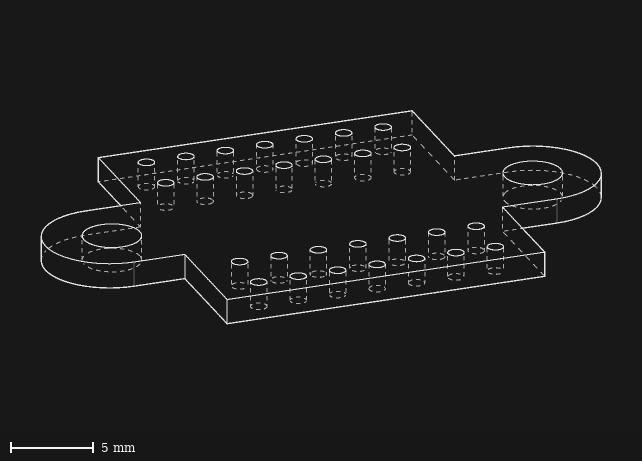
import cadquery as cq

length = 35.55
width = 22.85
thickness = 1.6

body_back_y = 10.15
body_front_left_y = -10.1
body_front_right_y = -10.35

tab_width = 8.3
tab_radius = tab_width / 2
tab_center_y = length / 2 - tab_radius
screw_hole_diameter = 3.6
screw_hole_back_y = 13.65
screw_hole_front_y = -13.48

pin_hole_diameter = 1.0
pin_rows = 7
pin_rows_span = 15.25
pin_pitch = pin_rows_span / (pin_rows - 1)
pin_column_inner_offset = 6.35
pin_column_outer_offset = 9.67

holes_center_x = -0.055


def make_plate():
    """Plate outline with a rounded tab at each end, extruded upward from Z = 0."""
    side_x = width / 2
    return (
        cq.Workplane("XY")
        .moveTo(-side_x, body_front_left_y)
        .lineTo(-tab_radius, body_front_left_y)
        .lineTo(-tab_radius, -tab_center_y)
        .threePointArc((0, -length / 2), (tab_radius, -tab_center_y))
        .lineTo(tab_radius, body_front_right_y)
        .lineTo(side_x, body_front_right_y)
        .lineTo(side_x, body_back_y)
        .lineTo(tab_radius, body_back_y)
        .lineTo(tab_radius, tab_center_y)
        .threePointArc((0, length / 2), (-tab_radius, tab_center_y))
        .lineTo(-tab_radius, body_back_y)
        .lineTo(-side_x, body_back_y)
        .close()
        .extrude(thickness)
    )


def make_through_holes(centers, diameter):
    """Cylinders that cut straight through the plate at the given centers."""
    return cq.Workplane("XY").pushPoints(centers).circle(diameter / 2).extrude(thickness)


screw_hole_centers = [(holes_center_x, screw_hole_back_y), (holes_center_x, screw_hole_front_y)]

pin_column_offsets = [
    -pin_column_outer_offset,
    -pin_column_inner_offset,
    pin_column_inner_offset,
    pin_column_outer_offset,
]
pin_hole_centers = [
    (holes_center_x + x, row * pin_pitch - pin_rows_span / 2)
    for x in pin_column_offsets
    for row in range(pin_rows)
]

result = (
    make_plate()
    .cut(make_through_holes(screw_hole_centers, screw_hole_diameter))
    .cut(make_through_holes(pin_hole_centers, pin_hole_diameter))
)